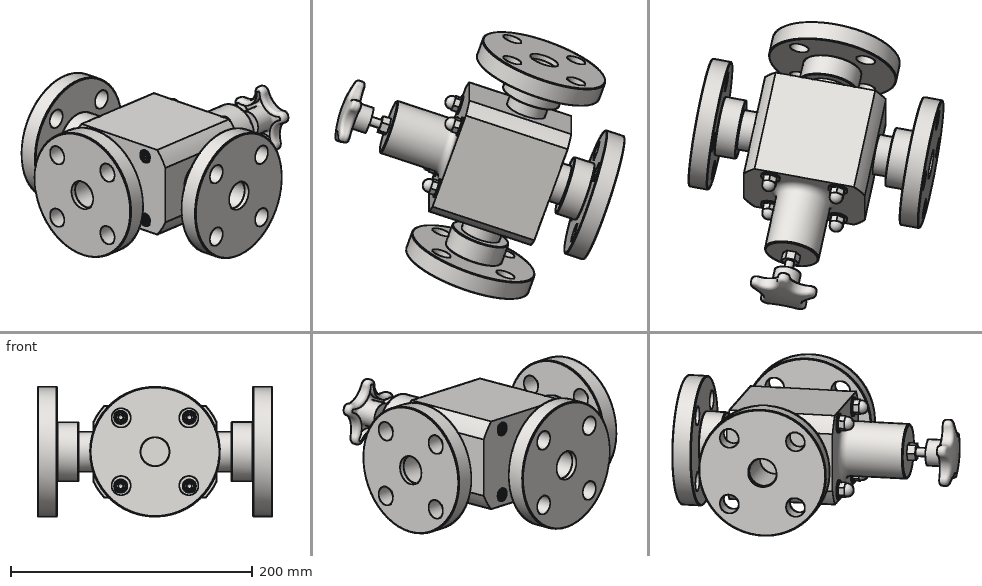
import cadquery as cq
import math

body_width = 102.5
body_height = 76.0
body_corner_diameter = 113.5
body_front = -40.0
body_back = 49.5

nozzle_reach = 46.1
pipe_diameter = 33.5
hub_diameter = 49.4
hub_length = 18.0
flange_diameter = 108.0
flange_thickness = 16.1
edge_chamfer = 0.7
flange_bore_diameter = 24.2
pipe_bore_diameter = 23.8
pipe_setback = 4.4
flange_hole_diameter = 16.0
flange_hole_circle = 79.3

bolt_spacing = 57.0
counterbore_diameter = 11.0
counterbore_depth = 4.5
head_diameter = 9.5
head_face_diameter = 7.4
socket_diameter = 4.4
socket_depth = 1.8
socket_tip_depth = 1.2
washer_diameter = 16.0
washer_thickness = 1.2
nut_flats = 11.0
nut_height = 5.0
nut_collar_height = 1.4
nut_dome_radius = nut_flats / 2

bonnet_diameter = 45.7
bonnet_top = 103.0
bonnet_chamfer = 1.0
bonnet_foot_radius = 6.2
lock_nut_flats = 13.0
lock_nut_height = 7.0
stem_diameter = 7.4

wheel_top = 144.5
wheel_thickness = 12.2
wheel_hub_diameter = 22.1
wheel_hub_length = 12.7
wheel_hub_fillet = 2.3
lobe_count = 5
lobe_radius = 5.0
lobe_center_radius = 23.8
valley_radius = 17.5
dome_radius = 92.2
wheel_top_fillet = 2.8
wheel_bottom_fillet = 3.2
wheel_rim_width = 3.5
wheel_pocket_depth = 6.0


def plane_at(y):
    """Workplane facing the back (+Y), with local y along Z."""
    return cq.Workplane(cq.Plane(origin=(0, y, 0), xDir=(-1, 0, 0), normal=(0, 1, 0)))


def rod(y, diameter, length):
    return plane_at(y).circle(diameter / 2).extrude(length)


def hex_prism(y, flats, length):
    """Hexagon with corners on the local x axis."""
    return plane_at(y).polygon(6, flats / math.cos(math.pi / 6)).extrude(length)


def at_bolts(shape):
    """Four copies of an axial shape, one at each body bolt."""
    half = bolt_spacing / 2
    copies = cq.Workplane()
    for x in (-half, half):
        for z in (-half, half):
            copies = copies.add(shape.translate((x, 0, z)))
    return copies.combine()


def make_body():
    length = body_back - body_front
    block = plane_at(body_front).rect(body_width, body_height).extrude(length)
    return block.intersect(rod(body_front, body_corner_diameter, length))


def make_nozzle(body_face):
    """Nozzle pointing up +Z from a body face at the given distance."""
    flange_face = body_face + nozzle_reach
    flange_back = flange_face - flange_thickness
    pipe_root = cq.Workplane().workplane(offset=body_face)
    pipe = pipe_root.circle(pipe_diameter / 2).extrude(nozzle_reach - pipe_setback)
    hub = (
        cq.Workplane()
        .workplane(offset=flange_back - hub_length)
        .circle(hub_diameter / 2)
        .extrude(hub_length)
        .edges()
        .chamfer(edge_chamfer)
    )
    flange = (
        cq.Workplane()
        .workplane(offset=flange_back)
        .circle(flange_diameter / 2)
        .extrude(flange_thickness)
        .edges()
        .chamfer(edge_chamfer)
        .faces(">Z")
        .workplane()
        .polarArray(flange_hole_circle / 2, 0, 360, 4)
        .hole(flange_hole_diameter)
    )
    pipe_bore = pipe_root.circle(pipe_bore_diameter / 2).extrude(nozzle_reach)
    flange_bore = (
        cq.Workplane()
        .workplane(offset=flange_face)
        .circle(flange_bore_diameter / 2)
        .extrude(-pipe_setback)
    )
    nozzle = pipe.union(hub).union(flange).cut(pipe_bore).cut(flange_bore)
    return nozzle.rotate((0, 0, 0), (0, 0, 1), 45)


def make_bolt_head():
    """Socket head with a conical rim, flush with the body front."""
    rim = (head_diameter - head_face_diameter) / 2
    socket_radius = socket_diameter / 2
    section = [
        (0, socket_depth + socket_tip_depth),
        (socket_radius, socket_depth),
        (socket_radius, 0),
        (head_face_diameter / 2, 0),
        (head_diameter / 2, rim),
        (head_diameter / 2, counterbore_depth),
        (0, counterbore_depth),
    ]
    head = cq.Workplane("XY").polyline(section).close().revolve(360, (0, 0, 0), (0, 1, 0))
    return head.translate((0, body_front, 0))


def make_dome_nut():
    washer = rod(body_back, washer_diameter, washer_thickness)
    nut_base = body_back + washer_thickness
    nut = hex_prism(nut_base, nut_flats, nut_height).rotate((0, 0, 0), (0, 1, 0), 90)
    collar = rod(nut_base + nut_height, 2 * nut_dome_radius, nut_collar_height)
    dome_center = nut_base + nut_height + nut_collar_height
    dome = cq.Workplane("XY").sphere(nut_dome_radius).translate((0, dome_center, 0))
    return washer.union(nut).union(collar).union(dome)


def make_bonnet():
    """Turned bonnet whose foot flares onto the body through a concave round."""
    radius = bonnet_diameter / 2
    foot = body_back + bonnet_foot_radius
    arc_offset = bonnet_foot_radius * (1 - math.sqrt(0.5))
    bonnet = (
        cq.Workplane("XY")
        .moveTo(0, body_back)
        .lineTo(radius + bonnet_foot_radius, body_back)
        .threePointArc((radius + arc_offset, body_back + arc_offset), (radius, foot))
        .lineTo(radius, bonnet_top - bonnet_chamfer)
        .lineTo(radius - bonnet_chamfer, bonnet_top)
        .lineTo(0, bonnet_top)
        .close()
        .revolve(360, (0, 0, 0), (0, 1, 0))
    )
    return bonnet.union(hex_prism(bonnet_top, lock_nut_flats, lock_nut_height))


def polar(radius, angle):
    return (radius * math.cos(angle), radius * math.sin(angle))


def make_star(y, inset, length):
    """Star of round lobes joined by tangent valley arcs, offset inward by the inset."""
    lobe = lobe_radius - inset
    valley = valley_radius - inset
    half_pitch = math.pi / lobe_count
    lobe_reach = lobe_center_radius * math.cos(half_pitch)
    valley_arc = (valley**2 + lobe_center_radius**2 - lobe**2 - 2 * valley * lobe_reach) / (
        2 * (lobe_reach + lobe - valley)
    )
    lobe_share = lobe / (lobe + valley_arc)

    def tangent_point(lobe_angle, side):
        lobe_center = polar(lobe_center_radius, lobe_angle)
        valley_center = polar(valley + valley_arc, lobe_angle + side * half_pitch)
        return tuple(a + lobe_share * (b - a) for a, b in zip(lobe_center, valley_center))

    first_angle = math.pi / 2
    outline = plane_at(y).moveTo(*tangent_point(first_angle, -1))
    for index in range(lobe_count):
        angle = first_angle + 2 * half_pitch * index
        tip = polar(lobe_center_radius + lobe, angle)
        next_tangent = tangent_point(angle + 2 * half_pitch, -1)
        outline = outline.threePointArc(tip, tangent_point(angle, 1))
        outline = outline.threePointArc(polar(valley, angle + half_pitch), next_tangent)
    return outline.close().extrude(length)


def make_handwheel():
    """Handwheel hollowed from below, with its hub and stem."""
    underside = wheel_top - wheel_thickness
    wheel = make_star(underside, 0, wheel_thickness)
    ball = (
        cq.Workplane("XY")
        .moveTo(0, wheel_top - 2 * dome_radius)
        .threePointArc((dome_radius, wheel_top - dome_radius), (0, wheel_top))
        .close()
        .revolve(360, (0, 0, 0), (0, 1, 0))
    )
    wheel = wheel.intersect(ball)
    wheel = wheel.faces("<Y").edges().fillet(wheel_bottom_fillet)
    wheel = wheel.faces(">Y").edges().fillet(wheel_top_fillet)
    wheel = wheel.cut(make_star(underside, wheel_rim_width, wheel_pocket_depth))
    hub_bottom = underside - wheel_hub_length
    hub = rod(hub_bottom, wheel_hub_diameter, wheel_hub_length + wheel_pocket_depth)
    stem = rod(bonnet_top, stem_diameter, hub_bottom - bonnet_top)
    wheel = wheel.union(hub)
    pocket_floor = underside + wheel_pocket_depth
    hub_root = cq.selectors.NearestToPointSelector((0, pocket_floor, 0))
    return wheel.edges(hub_root).fillet(wheel_hub_fillet).union(stem)


side_nozzle = make_nozzle(body_width / 2)
front_nozzle = make_nozzle(-body_front)

result = make_body()
result = result.cut(at_bolts(rod(body_front, counterbore_diameter, counterbore_depth)))
result = result.union(at_bolts(make_bolt_head()))
result = result.union(side_nozzle.rotate((0, 0, 0), (0, 1, 0), 90))
result = result.union(side_nozzle.rotate((0, 0, 0), (0, 1, 0), -90))
result = result.union(front_nozzle.rotate((0, 0, 0), (1, 0, 0), 90))
result = result.union(make_bonnet())
result = result.union(at_bolts(make_dome_nut()))
result = result.union(make_handwheel())